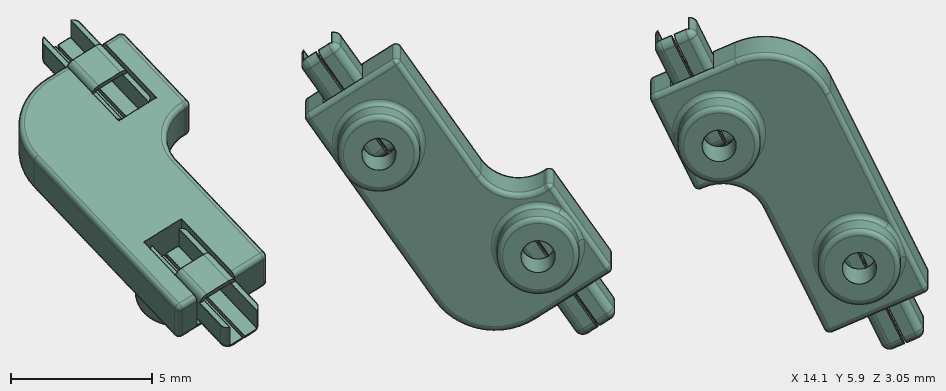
import cadquery as cq

housing_length = 10.92
housing_width = 5.9
arm_width = 4.0
outer_bend_radius = 2.55
inner_bend_radius = 1.61
edge_radius = 0.2

housing_bottom = 1.16
pocket_floor = 1.39
clip_bottom = 1.44
rail_top = 2.79
housing_top = 3.01
clip_top = 3.05

peg_diameter = 2.9
peg_hole_diameter = 1.2
first_peg_x = 2.29
peg_spacing_x = 6.33

first_row_y = 4.21
row_spacing_y = 2.53
second_row_y = first_row_y - row_spacing_y
peg_centres = [(first_peg_x, first_row_y), (first_peg_x + peg_spacing_x, second_row_y)]

clip_length = 4.57
clip_width = 1.6
clip_wall = 0.2
clip_floor = 0.3
clip_edge_radius = 0.31
clip_slit = 0.1
bridge_start = 1.6
bridge_length = 1.45
total_length = 14.14
clip_spacing_x = total_length - clip_length
clip_starts = [(-bridge_start, first_row_y), (clip_spacing_x - bridge_start, second_row_y)]

pocket_length = 3.08
clip_clearance = 0.035
pocket_width = clip_width + 2 * clip_clearance


def box(x, y, z, length, width, height):
    """Box from its least x, its middle y and its least z."""
    return cq.Workplane("XY", origin=(x, y, z)).box(length, width, height, centered=(False, True, False))


def make_block():
    """L-shaped block with a large bend outside and a smaller one inside, all edges rounded."""
    block = (
        cq.Workplane("XY", origin=(0, 0, housing_bottom))
        .polyline([
            (0, 0),
            (housing_length, 0),
            (housing_length, arm_width),
            (arm_width, arm_width),
            (arm_width, housing_width),
            (0, housing_width),
        ])
        .close()
        .extrude(housing_top - housing_bottom)
    )
    mid_z = (housing_bottom + housing_top) / 2
    block = block.edges(cq.NearestToPointSelector((0, 0, mid_z))).fillet(outer_bend_radius)
    block = block.edges(cq.NearestToPointSelector((arm_width, arm_width, mid_z))).fillet(inner_bend_radius)
    small_corners = [
        (housing_length, 0),
        (housing_length, arm_width),
        (arm_width, housing_width),
        (0, housing_width),
    ]
    for corner in small_corners:
        block = block.edges(cq.NearestToPointSelector((*corner, mid_z))).fillet(edge_radius)
    return block.faces("<Z or >Z").edges().fillet(edge_radius)


def add_pegs(block):
    """Round pegs with a rounded free end and a fillet where they meet the block."""
    plane_margin = 0.01
    for x, y in peg_centres:
        peg = (
            cq.Workplane("XY", origin=(x, y, 0))
            .circle(peg_diameter / 2)
            .extrude(housing_bottom)
            .faces("<Z").edges().fillet(edge_radius)
        )
        block = block.union(peg)
        peg_roots = cq.selectors.BoxSelector(
            (x - peg_diameter, y - peg_diameter, housing_bottom - plane_margin),
            (x + peg_diameter, y + peg_diameter, housing_bottom + plane_margin),
        )
        root_circle = block.edges(peg_roots).edges("%CIRCLE").edges(cq.selectors.RadiusNthSelector(0))
        block = root_circle.fillet(edge_radius)
    return block


def make_housing():
    """Block with its pegs, cut by a pocket for each clip and a hole up each peg into that pocket."""
    housing = add_pegs(make_block())
    pocket_depth = clip_top - pocket_floor
    for x, y in [(0, first_row_y), (housing_length - pocket_length, second_row_y)]:
        housing = housing.cut(box(x, y, pocket_floor, pocket_length, pocket_width, pocket_depth))
    for x, y in peg_centres:
        hole = cq.Workplane("XY", origin=(x, y, 0)).circle(peg_hole_diameter / 2).extrude(pocket_floor)
        housing = housing.cut(hole)
    return housing


def make_clip(x, y):
    """Clip with its first end at x and its middle on the row y, all outer edges rounded."""
    clip_height = clip_top - clip_bottom
    clip = box(x, y, clip_bottom, clip_length, clip_width, clip_height)
    clip = clip.edges("|X or |Z or <Z").fillet(clip_edge_radius)

    channel_bottom = clip_bottom + clip_floor
    channel_height = clip_top - clip_wall - channel_bottom
    clip = clip.cut(box(x, y, channel_bottom, clip_length, clip_width - 2 * clip_wall, channel_height))

    bridge_end = bridge_start + bridge_length
    for start, length in [(0, bridge_start), (bridge_end, clip_length - bridge_end)]:
        clip = clip.cut(box(x + start, y, rail_top, length, clip_width, clip_top - rail_top))

    return clip.cut(box(x, y, clip_bottom, clip_length, clip_slit, clip_floor))


housing = make_housing()
clips = [make_clip(x, y).val() for x, y in clip_starts]
result = cq.Compound.makeCompound([housing.val(), *clips])